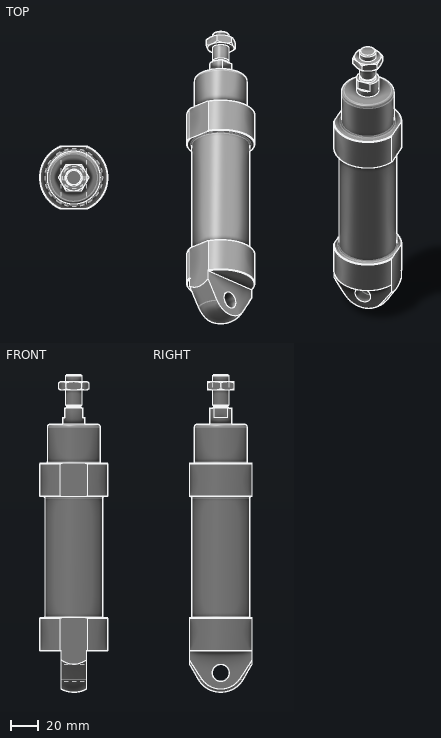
import cadquery as cq
import math


total_length = 227.6
pivot_to_tail = 14.0
cap_height = 24.0
rear_cap_bottom = 15.6
rear_cap_top = rear_cap_bottom + cap_height
front_cap_bottom = 126.2
front_cap_top = front_cap_bottom + cap_height
nose_length = 28.0
nose_top = front_cap_top + nose_length
tail_end = -pivot_to_tail
rod_end = total_length - pivot_to_tail

cap_diameter = 49.0
cap_across_flats = 45.0
cap_edge_chamfer = 0.5
tube_diameter = 41.6
nose_diameter = 38.0
nose_edge_radius = 2.0
nose_root_radius = 1.0
tube_root_radius = 0.8
eye_thickness = 18.4
eye_hole_diameter = 12.0
tail_radius = 18.8
tail_cone_angle = math.radians(30)

rod_diameter = 16.0
rod_shoulder_drop = 24.0
rod_shoulder = rod_end - rod_shoulder_drop
rod_across_flats = 13.0
rod_flat_length = 6.7
thread_diameter = 12.0
thread_length = 21.6
thread_start = rod_end - thread_length
thread_tip_diameter = 10.2
neck_diameter = 10.2

nut_across_flats = 19.0
nut_sides = 6
nut_height = 6.0
nut_to_rod_end = 5.0
nut_cone_angle = math.radians(30)


def cylinder(diameter, bottom, top):
    """Upright cylinder on the Z axis between two heights."""
    return cq.Workplane("XY").workplane(offset=bottom).circle(diameter / 2).extrude(top - bottom)


def root_fillet(diameter, face_height, radius, direction):
    """Ring that blends a shaft into the flat cap face at face_height; direction is +1 above, -1 below."""
    shaft_radius = diameter / 2
    foot = shaft_radius + radius
    tip = face_height + direction * radius
    sag = radius * (1 - math.sqrt(0.5))
    return (
        cq.Workplane("XZ")
        .moveTo(0, face_height)
        .lineTo(foot, face_height)
        .threePointArc((shaft_radius + sag, face_height + direction * sag), (shaft_radius, tip))
        .lineTo(0, tip)
        .close()
        .revolve(360, (0, 0), (0, 1))
    )


def make_cap(bottom):
    """Round end cap with chamfered rims and two flats facing -Y and +Y."""
    cap = cylinder(cap_diameter, bottom, bottom + cap_height).edges().chamfer(cap_edge_chamfer)
    flats = cq.Workplane("XY").box(cap_diameter, cap_across_flats, cap_height, centered=(True, True, False))
    return cap.intersect(flats.translate((0, 0, bottom)))


def make_eye():
    """Rear eye: a flat plate whose end is a ball tangent to a cone, turned about Z."""
    ball_center = tail_end + tail_radius
    tangent_radius = tail_radius * math.cos(tail_cone_angle)
    tangent_height = ball_center - tail_radius * math.sin(tail_cone_angle)
    middle_angle = (math.pi / 2 + tail_cone_angle) / 2
    arc_middle = (tail_radius * math.cos(middle_angle), ball_center - tail_radius * math.sin(middle_angle))
    outer_radius = cap_diameter / 2
    cone_top = tangent_height + (outer_radius - tangent_radius) / math.tan(tail_cone_angle)
    eye_top = rear_cap_bottom + cap_height / 2
    turned = (
        cq.Workplane("XZ")
        .moveTo(0, tail_end)
        .threePointArc(arc_middle, (tangent_radius, tangent_height))
        .lineTo(outer_radius, cone_top)
        .lineTo(outer_radius, eye_top)
        .lineTo(0, eye_top)
        .close()
        .revolve(360, (0, 0), (0, 1))
    )
    plate = cq.Workplane("XY").box(eye_thickness, cap_across_flats, 2 * eye_top)
    hole = cq.Workplane("YZ").circle(eye_hole_diameter / 2).extrude(cap_diameter / 2, both=True)
    return turned.intersect(plate).cut(hole)


def make_housing():
    """Tube with its two caps, the nose, the blended shaft roots and the rear eye, all one solid."""
    tube = cylinder(tube_diameter, rear_cap_top, front_cap_bottom)
    nose = cylinder(nose_diameter, front_cap_top, nose_top).faces(">Z").edges().fillet(nose_edge_radius)
    housing = make_cap(rear_cap_bottom)
    roots = [
        root_fillet(nose_diameter, front_cap_top, nose_root_radius, 1),
        root_fillet(tube_diameter, front_cap_bottom, tube_root_radius, -1),
        root_fillet(tube_diameter, rear_cap_top, tube_root_radius, 1),
    ]
    for part in (tube, make_cap(front_cap_bottom), nose, make_eye(), *roots):
        housing = housing.union(part)
    return housing


def make_undercut():
    """Ring groove with sloping flanks between the shoulder and the thread."""
    outer = thread_diameter / 2
    inner = neck_diameter / 2
    flank = outer - inner
    return (
        cq.Workplane("XZ")
        .moveTo(outer, rod_shoulder)
        .lineTo(inner, rod_shoulder + flank)
        .lineTo(inner, thread_start - flank)
        .lineTo(outer, thread_start)
        .close()
        .revolve(360, (0, 0), (0, 1))
    )


def make_rod():
    """Rod from the nose face outward, with two wrench flats and a plain cylinder for its thread."""
    rod = cylinder(rod_diameter, nose_top, rod_shoulder)
    flat_offset = (rod_across_flats + rod_diameter) / 2
    flat_middle = rod_shoulder - rod_flat_length / 2
    for side in (-1, 1):
        flat_cut = cq.Workplane("XY").box(rod_diameter, rod_diameter, rod_flat_length)
        rod = rod.cut(flat_cut.translate((side * flat_offset, 0, flat_middle)))
    tip_chamfer = (thread_diameter - thread_tip_diameter) / 2
    thread = cylinder(thread_diameter, rod_shoulder, rod_end).faces(">Z").edges().chamfer(tip_chamfer)
    return rod.union(thread).cut(make_undercut())


def make_nut():
    """Hexagon nut with flats facing -Y and +Y and both ends coned down to the flats."""
    bottom = rod_end - nut_to_rod_end - nut_height
    top = bottom + nut_height
    hexagon_turn = 180 / nut_sides
    hexagon = (
        cq.Workplane("XY")
        .workplane(offset=bottom)
        .polygon(nut_sides, nut_across_flats, circumscribed=True)
        .circle(thread_diameter / 2)
        .extrude(nut_height)
        .rotate((0, 0, 0), (0, 0, 1), hexagon_turn)
    )
    flat_radius = nut_across_flats / 2
    corner_radius = flat_radius / math.cos(math.pi / nut_sides)
    cone_height = (corner_radius - flat_radius) * math.tan(nut_cone_angle)
    coned = (
        cq.Workplane("XZ")
        .moveTo(0, bottom)
        .lineTo(flat_radius, bottom)
        .lineTo(corner_radius, bottom + cone_height)
        .lineTo(corner_radius, top - cone_height)
        .lineTo(flat_radius, top)
        .lineTo(0, top)
        .close()
        .revolve(360, (0, 0), (0, 1))
    )
    return hexagon.intersect(coned)


housing = make_housing()
rod = make_rod()
nut = make_nut()

result = cq.Compound.makeCompound([housing.val(), rod.val(), nut.val()])